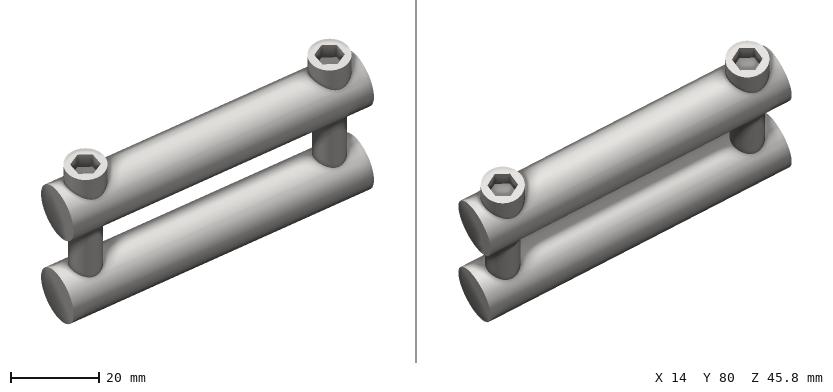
import cadquery as cq
import math

rod_length = 80.0
rod_diameter = 14.0
total_height = 45.8
rod_spacing = 27.0
screw_pitch = 65.0
shank_diameter = 8.0
head_diameter = 10.0
socket_flats = 6.0
socket_depth = 4.0

head_top = total_height - rod_diameter / 2
socket_corners = socket_flats / math.cos(math.pi / 6)


def rod(axis_height):
    """Solid round rod centred on Y."""
    return (
        cq.Workplane("XZ")
        .center(0, axis_height)
        .circle(rod_diameter / 2)
        .extrude(rod_length / 2, both=True)
    )


def screw(y):
    """Shank between the rod axes, with its head rising from the upper axis."""
    shank = cq.Workplane("XY").center(0, y).circle(shank_diameter / 2).extrude(rod_spacing)
    head = (
        cq.Workplane("XY", origin=(0, y, rod_spacing))
        .circle(head_diameter / 2)
        .extrude(head_top - rod_spacing)
    )
    return shank.union(head)


def hex_socket(y):
    """Hexagonal recess with two corners pointing along X."""
    return (
        cq.Workplane("XY", origin=(0, y, head_top))
        .polygon(6, socket_corners)
        .extrude(-socket_depth)
    )


screw_positions = (-screw_pitch / 2, screw_pitch / 2)
result = rod(0).union(rod(rod_spacing))
for position in screw_positions:
    result = result.union(screw(position))
for position in screw_positions:
    result = result.cut(hex_socket(position))